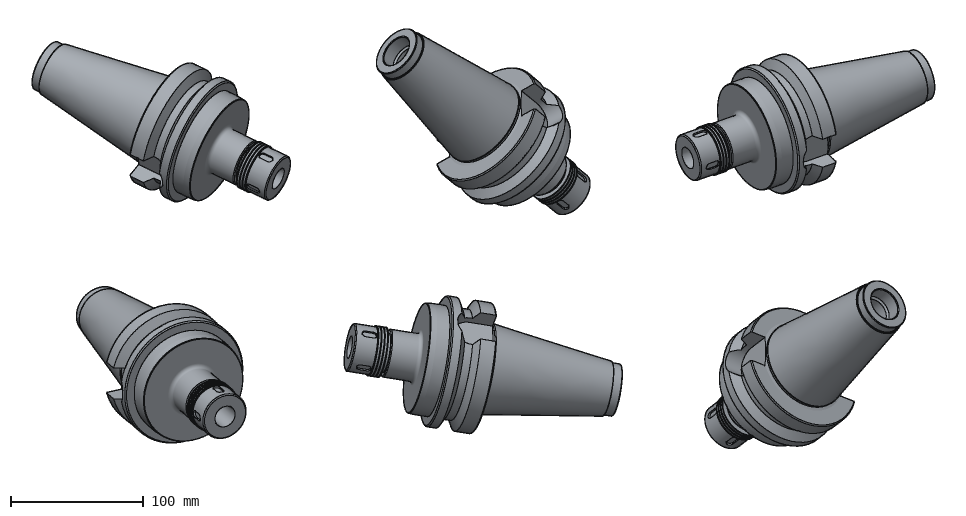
import cadquery as cq
import math


GAUGE_RADIUS = 69.85 / 2
TAPER_SLOPE = 7 / 24 / 2
SHANK_END = -101.8
SPIGOT_RADIUS = 20
SPIGOT_LENGTH = 7
SPIGOT_CHAMFER = 0.6
TAPER_START_CHAMFER = 0.4
NECK_RADIUS = 34.5
NECK_START = 1.0
NECK_END = 2.5
FLANGE_ROOT_RADIUS = 37.2

FLANGE_RADIUS = 50
FLANGE_BACK = 3
FLANGE_FRONT = 38
BACK_CHAMFER = 0.9
FRONT_CHAMFER = 1.0
GROOVE_RADIUS = 42.5
GROOVE_CENTER = 22.9
GROOVE_FLOOR_WIDTH = 6.2
GROOVE_FLANK_ANGLE = math.radians(60)

SLOT_WIDTH = 25.7
SLOT_END = 33.7
SLOT_FLOOR = 35.3

COLLAR_TAPER_START = 47.7
COLLAR_FRONT = 53
COLLAR_FRONT_RADIUS = 42.1
COLLAR_CHAMFER = 0.5

STEM_RADIUS = 18.3
STEM_FILLET = 3.0
STEM_END = 77
STEM_CHAMFER = 0.8
NUT_GAP_RADIUS = 15
NUT_START = 79.7
NUT_RING_RADIUS = 19.2
NUT_RADIUS = 18.3
NUT_BODY_START = 87.9
NUT_END = 105
NUT_CHAMFER = 0.9
RING_COUNT = 4
RING_WIDTH = 0.7
RING_GROOVE_DEPTH = 0.2

POCKET_COUNT = 4
POCKET_LENGTH = 11.4
POCKET_WIDTH = 5.6
POCKET_DEPTH = 1.6
POCKET_SETBACK = 0.5

THROUGH_RADIUS = 8.5
ENTRY_RADIUS = 12.5
ENTRY_CHAMFER = 0.6
ENTRY_DEPTH = 11.5
THREAD_RADIUS = 10.6
THREAD_START_CONE = 1.2
THREAD_DEPTH = 60
DRILL_CONE_LENGTH = 1.2


def revolve_about_x(outline):
    """Revolve a closed (x, radius) outline about the X axis."""
    return cq.Workplane("XY").polyline(outline).close().revolve(360, (0, 0, 0), (1, 0, 0))


def make_shank():
    taper_start = SHANK_END + SPIGOT_LENGTH
    chamfer_end = taper_start + TAPER_START_CHAMFER
    taper_start_radius = GAUGE_RADIUS + TAPER_SLOPE * taper_start
    return revolve_about_x([
        (SHANK_END, 0),
        (SHANK_END, SPIGOT_RADIUS - SPIGOT_CHAMFER),
        (SHANK_END + SPIGOT_CHAMFER, SPIGOT_RADIUS),
        (taper_start, SPIGOT_RADIUS),
        (taper_start, taper_start_radius - TAPER_START_CHAMFER),
        (chamfer_end, GAUGE_RADIUS + TAPER_SLOPE * chamfer_end),
        (0, GAUGE_RADIUS),
        (NECK_START, NECK_RADIUS),
        (NECK_END, NECK_RADIUS),
        (FLANGE_BACK, FLANGE_ROOT_RADIUS),
        (FLANGE_BACK, 0),
    ])


def make_flange():
    floor_start = GROOVE_CENTER - GROOVE_FLOOR_WIDTH / 2
    floor_end = GROOVE_CENTER + GROOVE_FLOOR_WIDTH / 2
    flank_run = (FLANGE_RADIUS - GROOVE_RADIUS) / math.tan(GROOVE_FLANK_ANGLE)
    return revolve_about_x([
        (FLANGE_BACK, 0),
        (FLANGE_BACK, FLANGE_RADIUS - BACK_CHAMFER),
        (FLANGE_BACK + BACK_CHAMFER, FLANGE_RADIUS),
        (floor_start - flank_run, FLANGE_RADIUS),
        (floor_start, GROOVE_RADIUS),
        (floor_end, GROOVE_RADIUS),
        (floor_end + flank_run, FLANGE_RADIUS),
        (FLANGE_FRONT - FRONT_CHAMFER, FLANGE_RADIUS),
        (FLANGE_FRONT, FLANGE_RADIUS - FRONT_CHAMFER),
        (FLANGE_FRONT, GROOVE_RADIUS),
        (COLLAR_TAPER_START, GROOVE_RADIUS),
        (COLLAR_FRONT - COLLAR_CHAMFER, COLLAR_FRONT_RADIUS),
        (COLLAR_FRONT, COLLAR_FRONT_RADIUS - COLLAR_CHAMFER),
        (COLLAR_FRONT, 0),
    ])


def make_drive_slots():
    end_radius = SLOT_WIDTH / 2
    length = SLOT_END - end_radius
    depth = FLANGE_RADIUS - SLOT_FLOOR
    slot = (
        cq.Workplane("XZ", origin=(0, -SLOT_FLOOR, 0))
        .moveTo(0, -end_radius)
        .lineTo(length, -end_radius)
        .threePointArc((SLOT_END, 0), (length, end_radius))
        .lineTo(0, end_radius)
        .close()
        .extrude(depth)
    )
    return slot.union(slot.mirror("XZ"))


def make_stem():
    fillet_radius = STEM_RADIUS + STEM_FILLET
    fillet_end = COLLAR_FRONT + STEM_FILLET
    arc_offset = STEM_FILLET * (1 - math.sqrt(0.5))
    return (
        cq.Workplane("XY")
        .moveTo(COLLAR_FRONT, 0)
        .lineTo(COLLAR_FRONT, fillet_radius)
        .threePointArc(
            (COLLAR_FRONT + arc_offset, STEM_RADIUS + arc_offset),
            (fillet_end, STEM_RADIUS),
        )
        .lineTo(STEM_END - STEM_CHAMFER, STEM_RADIUS)
        .lineTo(STEM_END, STEM_RADIUS - STEM_CHAMFER)
        .lineTo(STEM_END, NUT_GAP_RADIUS)
        .lineTo(NUT_START, NUT_GAP_RADIUS)
        .lineTo(NUT_START, 0)
        .close()
        .revolve(360, (0, 0, 0), (1, 0, 0))
    )


def make_nut():
    ring_pitch = (NUT_BODY_START - NUT_START - RING_WIDTH) / (RING_COUNT - 1)
    groove_floor = NUT_RING_RADIUS - RING_GROOVE_DEPTH
    outline = [(NUT_START, 0)]
    for ring in range(RING_COUNT):
        ring_start = NUT_START + ring * ring_pitch
        ring_end = ring_start + RING_WIDTH
        if ring > 0:
            outline.append((ring_start, groove_floor))
        outline.append((ring_start, NUT_RING_RADIUS))
        outline.append((ring_end, NUT_RING_RADIUS))
        if ring < RING_COUNT - 1:
            outline.append((ring_end, groove_floor))
    outline += [
        (NUT_BODY_START, NUT_RADIUS),
        (NUT_END - NUT_CHAMFER, NUT_RADIUS),
        (NUT_END, NUT_RADIUS - NUT_CHAMFER),
        (NUT_END, 0),
    ]
    return revolve_about_x(outline)


def make_wrench_pockets():
    center = NUT_BODY_START + POCKET_SETBACK + POCKET_LENGTH / 2
    floor = NUT_RADIUS - POCKET_DEPTH
    pocket = (
        cq.Workplane("XY", origin=(center, 0, floor))
        .slot2D(POCKET_LENGTH, POCKET_WIDTH)
        .extrude(NUT_RADIUS)
    )
    pockets = cq.Workplane("XY")
    for index in range(POCKET_COUNT):
        angle = index * 360 / POCKET_COUNT
        pockets = pockets.add(pocket.rotate((0, 0, 0), (1, 0, 0), angle))
    return pockets.combine()


def make_bore():
    entry_end = SHANK_END + ENTRY_DEPTH
    thread_end = SHANK_END + THREAD_DEPTH
    return revolve_about_x([
        (SHANK_END, 0),
        (SHANK_END, ENTRY_RADIUS + ENTRY_CHAMFER),
        (SHANK_END + ENTRY_CHAMFER, ENTRY_RADIUS),
        (entry_end, ENTRY_RADIUS),
        (entry_end + THREAD_START_CONE, THREAD_RADIUS),
        (thread_end, THREAD_RADIUS),
        (thread_end + DRILL_CONE_LENGTH, THROUGH_RADIUS),
        (NUT_END, THROUGH_RADIUS),
        (NUT_END, 0),
    ])


body = make_shank().union(make_flange()).union(make_stem()).union(make_nut())
result = body.cut(make_drive_slots()).cut(make_wrench_pockets()).cut(make_bore())